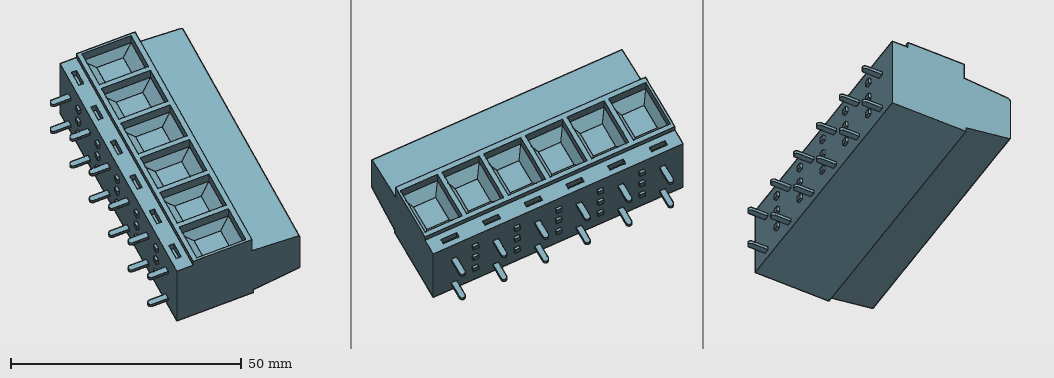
import cadquery as cq


pole_count = 6
length = 61.0
pitch = length / pole_count

total_depth = 34.0
pin_length = 4.6
body_depth = total_depth - pin_length
height = 20.0
ledge_depth = 3.9
ledge_drop = 1.4
block_back = 17.9
slope_top_front = 15.85
slope_top_back = 14.9
foot_back = 18.35
slope_bottom_front = 1.1
slope_bottom_back = 2.9
back_top_radius = 0.9
back_bottom_radius = 0.5
ledge_height = height - ledge_drop

well_width = 9.0
well_length = 11.7
well_center_y = 10.85
well_straight_depth = 2.6
funnel_depth = 1.75
funnel_floor_width = 5.4
funnel_floor_length = 6.35

slot_width = 3.8
slot_length = 1.15
slot_center_y = 1.9
slot_depth = 1.8

pin_width = 1.35
pin_thickness = 0.8
pin_rows_z = (2.5, 12.55)

pad_size = 1.35
pad_height = 0.6
pad_rows_z = (5.25, 10.0, 14.45)

pole_centers_x = [(pole + 0.5) * pitch for pole in range(pole_count)]
pole_borders_x = [border * pitch for border in range(1, pole_count)]


def make_housing():
    section = [
        (0, 0),
        (foot_back, 0),
        (foot_back, slope_bottom_front),
        (body_depth, slope_bottom_back),
        (body_depth, slope_top_back),
        (block_back, slope_top_front),
        (block_back, height),
        (ledge_depth, height),
        (ledge_depth, ledge_height),
        (0, ledge_height),
    ]
    housing = cq.Workplane("YZ").polyline(section).close().extrude(length)
    housing = housing.faces(">Y").edges(">Z").fillet(back_top_radius)
    return housing.faces(">Y").edges("<Z").fillet(back_bottom_radius)


def make_well(x):
    shaft = (
        cq.Workplane("XY", origin=(x, well_center_y, height))
        .rect(well_width, well_length)
        .extrude(-well_straight_depth)
    )
    funnel = (
        cq.Workplane("XY", origin=(x, well_center_y, height - well_straight_depth))
        .rect(well_width, well_length)
        .workplane(offset=-funnel_depth)
        .rect(funnel_floor_width, funnel_floor_length)
        .loft(ruled=True)
    )
    return shaft.union(funnel)


def make_slot(x):
    return (
        cq.Workplane("XY", origin=(x, slot_center_y, ledge_height))
        .rect(slot_width, slot_length)
        .extrude(-slot_depth)
    )


def make_pin(x, z):
    """Flat pin pointing to -Y with a half-round tip."""
    half_width = pin_width / 2
    tip_start_y = half_width - pin_length
    return (
        cq.Workplane("XY", origin=(x, 0, z))
        .moveTo(-half_width, 0)
        .lineTo(-half_width, tip_start_y)
        .threePointArc((0, -pin_length), (half_width, tip_start_y))
        .lineTo(half_width, 0)
        .close()
        .extrude(pin_thickness / 2, both=True)
    )


def make_pad(x, z):
    return cq.Workplane("XZ", origin=(x, 0, z)).rect(pad_size, pad_size).extrude(pad_height)


result = make_housing()

for x in pole_centers_x:
    result = result.cut(make_well(x)).cut(make_slot(x))
    for z in pin_rows_z:
        result = result.union(make_pin(x, z))

for x in pole_borders_x:
    for z in pad_rows_z:
        result = result.union(make_pad(x, z))